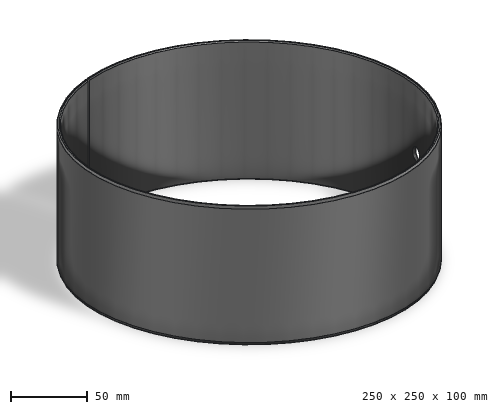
import cadquery as cq
import math

outer_diameter = 250.0
band_height = 100.0
wall_thickness = 2.5
rim_land_width = 1.0
inner_bevel = 0.8
outer_bevel_angle = 20.0
split_angle = 1.0
hole_diameter = 10.0
hole_angle = 59.0

outer_radius = outer_diameter / 2
inner_radius = outer_radius - wall_thickness
half_height = band_height / 2
outer_bevel_inset = wall_thickness - rim_land_width - inner_bevel
outer_bevel_height = outer_bevel_inset / math.tan(math.radians(outer_bevel_angle))


def make_band():
    """Split ring revolved about Z, bevelled inside and outside at both rims."""
    land_inner_radius = inner_radius + inner_bevel
    land_outer_radius = outer_radius - outer_bevel_inset
    inner_bevel_start = half_height - inner_bevel
    outer_bevel_start = half_height - outer_bevel_height
    section = (
        cq.Workplane("XZ")
        .moveTo(-land_inner_radius, -half_height)
        .lineTo(-land_outer_radius, -half_height)
        .lineTo(-outer_radius, -outer_bevel_start)
        .lineTo(-outer_radius, outer_bevel_start)
        .lineTo(-land_outer_radius, half_height)
        .lineTo(-land_inner_radius, half_height)
        .lineTo(-inner_radius, inner_bevel_start)
        .lineTo(-inner_radius, -inner_bevel_start)
        .close()
    )
    return section.revolve(360 - split_angle, (0, 0, 0), (0, 1, 0))


def make_hole_cutter():
    """Radial cylinder at mid-height, one wall thickness longer than the wall at each end."""
    cutter_start = inner_radius - wall_thickness
    cutter_end = outer_radius + wall_thickness
    return (
        cq.Workplane("YZ", origin=(cutter_start, 0, 0))
        .circle(hole_diameter / 2)
        .extrude(cutter_end - cutter_start)
        .rotate((0, 0, 0), (0, 0, 1), hole_angle)
    )


result = make_band().cut(make_hole_cutter())